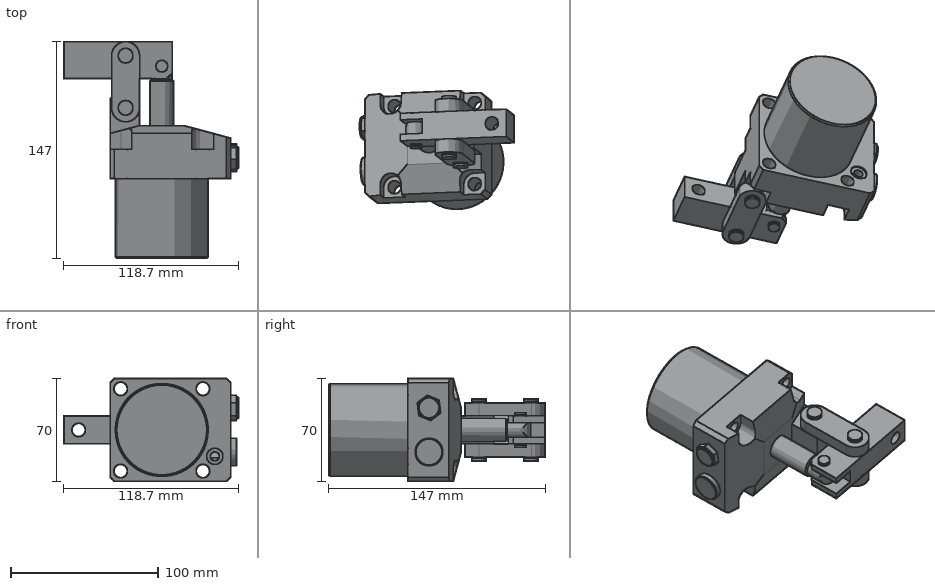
import cadquery as cq
import math


BARREL_DIAMETER = 63.0
BARREL_LENGTH = 54.0
BARREL_CHAMFER = 1.0

FLANGE_LEFT = -35.1
FLANGE_RIGHT = 46.9
FLANGE_HEIGHT_Z = 70.0
FLANGE_TOP = 36.0
FLANGE_CORNER_CHAMFER = 3.0
FLAT_TOP_HALF = 15.5
TOP_SLOPE = math.tan(math.radians(15))

BOLT_OFFSET = 28.0
BOLT_HOLE_DIAMETER = 9.0
BOLT_SEAT_RADIUS = 7.5
BOLT_SEAT_Y = 20.0

PLUG_Y = 14.3
PLUG_OFFSET_Z = 15.0
ROUND_PLUG_DIAMETER = 18.8
ROUND_PLUG_LENGTH = 4.1
ROUND_PLUG_CHAMFER = 0.6
HEX_ACROSS_FLATS = 15.0
HEX_LENGTH = 3.8
HEX_TURN_DEGREES = 7
HEX_CAP_LENGTH = 1.5
HEX_CAP_CHAMFER = 0.7
PORT_X = 36.0
PORT_Z = -18.0
PORT_DIAMETER = 6.0
PORT_RECESS_DIAMETER = 11.0
PORT_RECESS_DEPTH = 1.0
CROSS_DRILL_DIAMETER = 8.0
CROSS_DRILL_END_X = 32.3

LINK_X = -24.5
LINK_WIDTH = 19.0
LINK_THICKNESS = 9.0
LINK_PITCH = 35.5
CENTRE_THICKNESS = 19.0

ARM_TOP = 93.0
ARM_BOTTOM = 68.0
ARM_LEFT = -66.5
ARM_RIGHT = 7.2
ARM_CHAMFER_X = 4.0
ARM_CHAMFER_Y = 3.5
ARM_HOLE_DIAMETER = 9.0
ARM_HOLE_INSET = 10.0

LUG_RIGHT = -15.0
LUG_TOP = 58.4
LUG_CHAMFER = 4.1

ROD_DIAMETER = 16.0
ROD_TOP = 67.3
ROD_CHAMFER = 1.0
TONGUE_DIAMETER = ROD_DIAMETER - 2 * ROD_CHAMFER
TONGUE_THICKNESS = 10.0
SLOT_CLEARANCE = 1.0

LINK_PIN_DIAMETER = 10.0
ROD_PIN_DIAMETER = 8.0
PIN_NECK_STEP = 0.7
PIN_NECK_LENGTH = 0.9
LINK_PIN_END_LENGTH = 1.8
ROD_PIN_END_LENGTH = 1.3
ROD_PIN_Y = 76.5

CENTRE_HALF = CENTRE_THICKNESS / 2
LINK_OUTER_Z = CENTRE_HALF + LINK_THICKNESS
UPPER_PIN_Y = ARM_TOP - LINK_WIDTH / 2
LOWER_PIN_Y = UPPER_PIN_Y - LINK_PITCH


def cylinder_along_y(x, z, y_from, y_to, diameter):
    direction = cq.Vector(0, 1, 0)
    solid = cq.Solid.makeCylinder(diameter / 2, y_to - y_from, cq.Vector(x, y_from, z), direction)
    return cq.Workplane(solid)


def cylinder_along_x(y, z, x_from, x_to, diameter):
    direction = cq.Vector(1, 0, 0)
    solid = cq.Solid.makeCylinder(diameter / 2, x_to - x_from, cq.Vector(x_from, y, z), direction)
    return cq.Workplane(solid)


def cylinder_along_z(x, y, half_length, diameter):
    return cq.Workplane("XY").center(x, y).circle(diameter / 2).extrude(half_length, both=True)


def block(x_from, x_to, y_from, y_to, z_from, z_to):
    size = (x_to - x_from, y_to - y_from, z_to - z_from)
    return cq.Workplane("XY").box(*size, centered=False).translate((x_from, y_from, z_from))


def make_flange():
    """Chamfered block whose top falls away at the same angle on all four sides."""
    half_z = FLANGE_HEIGHT_Z / 2

    def slope_y(distance):
        return FLANGE_TOP - (distance - FLAT_TOP_HALF) * TOP_SLOPE

    profile_x = [
        (FLANGE_LEFT, 0),
        (FLANGE_LEFT, slope_y(-FLANGE_LEFT)),
        (-FLAT_TOP_HALF, FLANGE_TOP),
        (FLAT_TOP_HALF, FLANGE_TOP),
        (FLANGE_RIGHT, slope_y(FLANGE_RIGHT)),
        (FLANGE_RIGHT, 0),
    ]
    flange = cq.Workplane("XY").polyline(profile_x).close().extrude(half_z, both=True)
    flange = flange.edges("|Y").chamfer(FLANGE_CORNER_CHAMFER)

    profile_z = [
        (0, -half_z),
        (slope_y(half_z), -half_z),
        (FLANGE_TOP, -FLAT_TOP_HALF),
        (FLANGE_TOP, FLAT_TOP_HALF),
        (slope_y(half_z), half_z),
        (0, half_z),
    ]
    trim = cq.Workplane("YZ").polyline(profile_z).close().extrude(FLANGE_RIGHT, both=True)
    return flange.intersect(trim)


def bolt_cutters():
    """Four bolt holes; corner pockets seat the -X bolts and U-shaped slots seat the +X bolts."""
    inner = BOLT_OFFSET - BOLT_SEAT_RADIUS
    outer = FLANGE_HEIGHT_Z
    cutters = []
    for side in (-1, 1):
        z = side * BOLT_OFFSET
        z_from, z_to = sorted((side * inner, side * outer))
        inner_corner = ">X and <Z" if side > 0 else ">X and >Z"
        pocket = block(-outer, -inner, BOLT_SEAT_Y, FLANGE_TOP, z_from, z_to)
        cutters.append(pocket.edges("|Y").edges(inner_corner).fillet(BOLT_SEAT_RADIUS))

        slot_z_from, slot_z_to = sorted((z, side * outer))
        slot_end = BOLT_OFFSET + BOLT_SEAT_RADIUS
        cutters.append(block(inner, slot_end, BOLT_SEAT_Y, FLANGE_TOP, slot_z_from, slot_z_to))
        cutters.append(cylinder_along_y(BOLT_OFFSET, z, BOLT_SEAT_Y, FLANGE_TOP, 2 * BOLT_SEAT_RADIUS))

        for x in (-BOLT_OFFSET, BOLT_OFFSET):
            cutters.append(cylinder_along_y(x, z, 0, FLANGE_TOP, BOLT_HOLE_DIAMETER))
    return cutters


def port_cutters():
    """Recessed oil port that runs into a cross drilling behind the round plug."""
    recess = cylinder_along_y(PORT_X, PORT_Z, 0, PORT_RECESS_DEPTH, PORT_RECESS_DIAMETER)
    bore = cylinder_along_y(PORT_X, PORT_Z, 0, PLUG_Y, PORT_DIAMETER)
    drilling = cylinder_along_x(
        PLUG_Y, -PLUG_OFFSET_Z, CROSS_DRILL_END_X, FLANGE_RIGHT, CROSS_DRILL_DIAMETER
    )
    return [recess, bore, drilling]


def make_barrel():
    barrel = cylinder_along_y(0, 0, -BARREL_LENGTH, 0, BARREL_DIAMETER)
    return barrel.faces("<Y").chamfer(BARREL_CHAMFER)


def make_lug():
    """Upright plate that carries the lower link pin."""
    lug = block(FLANGE_LEFT, LUG_RIGHT, 0, LUG_TOP, -CENTRE_HALF, CENTRE_HALF)
    lug = lug.edges("<X and >Y").chamfer(LUG_CHAMFER)
    return lug.cut(cylinder_along_z(LINK_X, LOWER_PIN_Y, CENTRE_HALF, LINK_PIN_DIAMETER))


def make_round_plug():
    plug_end = FLANGE_RIGHT + ROUND_PLUG_LENGTH
    plug = cylinder_along_x(PLUG_Y, -PLUG_OFFSET_Z, FLANGE_RIGHT, plug_end, ROUND_PLUG_DIAMETER)
    return plug.faces(">X").chamfer(ROUND_PLUG_CHAMFER)


def make_hex_plug():
    hex_end = FLANGE_RIGHT + HEX_LENGTH
    across_corners = HEX_ACROSS_FLATS / math.cos(math.radians(30))
    hexagon = cq.Workplane("YZ").polygon(6, across_corners).extrude(HEX_LENGTH)
    hexagon = hexagon.rotate((0, 0, 0), (1, 0, 0), 90 + HEX_TURN_DEGREES)
    hexagon = hexagon.translate((FLANGE_RIGHT, PLUG_Y, PLUG_OFFSET_Z))
    cap = cylinder_along_x(PLUG_Y, PLUG_OFFSET_Z, hex_end, hex_end + HEX_CAP_LENGTH, HEX_ACROSS_FLATS)
    return hexagon.union(cap.faces(">X").chamfer(HEX_CAP_CHAMFER))


def make_rod():
    """Piston rod ending in a flat-sided tongue, rounded about the rod pin."""
    rod = cylinder_along_y(0, 0, 0, ROD_TOP, ROD_DIAMETER).faces(">Y").chamfer(ROD_CHAMFER)
    half_width = TONGUE_DIAMETER / 2
    tongue_outline = (
        cq.Workplane("XY")
        .moveTo(-half_width, ROD_TOP)
        .lineTo(half_width, ROD_TOP)
        .lineTo(half_width, ROD_PIN_Y)
        .threePointArc((0, ROD_PIN_Y + half_width), (-half_width, ROD_PIN_Y))
        .close()
    )
    tongue = tongue_outline.extrude(TONGUE_THICKNESS / 2, both=True)
    tongue = tongue.intersect(cylinder_along_y(0, 0, ROD_TOP, ARM_TOP, TONGUE_DIAMETER))
    tongue = tongue.cut(cylinder_along_z(0, ROD_PIN_Y, CENTRE_HALF, ROD_PIN_DIAMETER))
    return rod.union(tongue)


def make_housing():
    """Flange with its barrel, lug, plugs and piston rod, as one solid."""
    flange = make_flange()
    for cutter in bolt_cutters() + port_cutters():
        flange = flange.cut(cutter)
    housing = flange
    for part in (make_barrel(), make_lug(), make_round_plug(), make_hex_plug(), make_rod()):
        housing = housing.union(part)
    return housing


def make_arm():
    """Clamping arm: link pin hole, bolt hole at the free end, and a fork over the rod tongue."""
    outline = [
        (ARM_LEFT, ARM_BOTTOM),
        (ARM_RIGHT - ARM_CHAMFER_X, ARM_BOTTOM),
        (ARM_RIGHT, ARM_BOTTOM + ARM_CHAMFER_Y),
        (ARM_RIGHT, ARM_TOP),
        (ARM_LEFT, ARM_TOP),
    ]
    arm = cq.Workplane("XY").polyline(outline).close().extrude(CENTRE_HALF, both=True)

    slot_left = -TONGUE_DIAMETER / 2 - SLOT_CLEARANCE
    slot_half = TONGUE_THICKNESS / 2
    arm = arm.cut(block(slot_left, ARM_RIGHT, ARM_BOTTOM, ARM_TOP, -slot_half, slot_half))

    arm = arm.cut(cylinder_along_z(LINK_X, UPPER_PIN_Y, CENTRE_HALF, LINK_PIN_DIAMETER))
    arm = arm.cut(cylinder_along_z(0, ROD_PIN_Y, CENTRE_HALF, ROD_PIN_DIAMETER))
    hole_x = ARM_LEFT + ARM_HOLE_INSET
    return arm.cut(cylinder_along_y(hole_x, 0, ARM_BOTTOM, ARM_TOP, ARM_HOLE_DIAMETER))


def make_link(z_from):
    """Round-ended link plate with a hole for each link pin."""
    middle_y = (UPPER_PIN_Y + LOWER_PIN_Y) / 2
    link = (
        cq.Workplane("XY", origin=(LINK_X, middle_y, z_from))
        .slot2D(LINK_PITCH + LINK_WIDTH, LINK_WIDTH, 90)
        .extrude(LINK_THICKNESS)
    )
    for y in (UPPER_PIN_Y, LOWER_PIN_Y):
        link = link.cut(cylinder_along_z(LINK_X, y, LINK_OUTER_Z, LINK_PIN_DIAMETER))
    return link


def make_pin(x, y, diameter, held_half, end_length):
    """Pin along Z with a retaining groove and an end disc beyond each held face."""
    neck_half = held_half + PIN_NECK_LENGTH
    pin = cylinder_along_z(x, y, neck_half + end_length, diameter)
    groove_ring = cylinder_along_z(x, y, neck_half, diameter)
    groove_ring = groove_ring.cut(cylinder_along_z(x, y, held_half, diameter))
    groove_ring = groove_ring.cut(cylinder_along_z(x, y, neck_half, diameter - 2 * PIN_NECK_STEP))
    return pin.cut(groove_ring)


housing = make_housing()
arm = make_arm()
links = [make_link(z) for z in (-LINK_OUTER_Z, CENTRE_HALF)]
link_pins = [
    make_pin(LINK_X, y, LINK_PIN_DIAMETER, LINK_OUTER_Z, LINK_PIN_END_LENGTH)
    for y in (UPPER_PIN_Y, LOWER_PIN_Y)
]
rod_pin = make_pin(0, ROD_PIN_Y, ROD_PIN_DIAMETER, CENTRE_HALF, ROD_PIN_END_LENGTH)

bodies = [housing, arm, *links, *link_pins, rod_pin]
result = cq.Compound.makeCompound([body.val() for body in bodies])